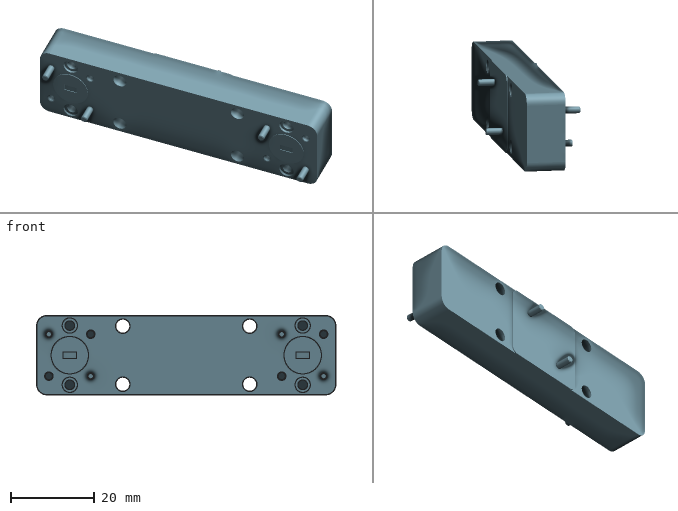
import cadquery as cq

LENGTH = 71.9
HEIGHT = 19.05
OVERALL_DEPTH = 17.75
CORNER_RADIUS = 2.5

PAD_WIDTH = 22.0
PAD_RAISE = 0.2
PAD_CORNER_RADIUS = 1.65

PIN_DIAMETER = 1.65
PIN_PROUD = 4.0
PIN_EMBEDDED = 2.9
PIN_CHAMFER = 0.18

PORT_X = 27.95
PORT_SQUARE = 10.05
BOSS_DIAMETER = 9.0
BOSS_RAISE = 0.15
WAVEGUIDE_WIDTH = 3.2
WAVEGUIDE_HEIGHT = 1.6
WAVEGUIDE_DEPTH = BOSS_RAISE

SOCKET_DIAMETER = 1.7
SOCKET_CHAMFER = 0.15
SOCKET_DEPTH = 4.3
SOCKET_CHAMFER_ANGLE = 45.0

SCREW_OFFSET = 7.1
SCREW_DIAMETER = 2.3
SCREW_DEPTH = 5.75
COUNTERBORE_DIAMETER = 3.7
COUNTERBORE_DEPTH = 0.6

MOUNT_X = 15.25
MOUNT_Z = 7.0
MOUNT_DIAMETER = 3.4

FRONT_FACE = PIN_PROUD - OVERALL_DEPTH / 2
PAD_FACE = OVERALL_DEPTH / 2 - PIN_PROUD
REAR_FACE = PAD_FACE - PAD_RAISE
BODY_DEPTH = REAR_FACE - FRONT_FACE

PORT_CENTRES = [-PORT_X, PORT_X]
PORT_POINTS = [(x, 0) for x in PORT_CENTRES]
HALF_SQUARE = PORT_SQUARE / 2

FRONT_PIN_POINTS = [(x + s * HALF_SQUARE, -s * HALF_SQUARE) for x in PORT_CENTRES for s in (-1, 1)]
SOCKET_POINTS = [(x + s * HALF_SQUARE, s * HALF_SQUARE) for x in PORT_CENTRES for s in (-1, 1)]
REAR_PIN_POINTS = [(s * HALF_SQUARE, s * HALF_SQUARE) for s in (-1, 1)]
SCREW_POINTS = [(x, s * SCREW_OFFSET) for x in PORT_CENTRES for s in (-1, 1)]
MOUNT_POINTS = [(sx * MOUNT_X, sz * MOUNT_Z) for sx in (-1, 1) for sz in (-1, 1)]


def sketch_plane(y):
    """Sketch plane at the given Y, with local axes along X and Z and its normal along -Y."""
    return cq.Workplane("XZ", origin=(0, y, 0))


def cylinders(points, diameter, y_start, length):
    """Cylinders at (X, Z) points that run toward +Y from y_start."""
    return sketch_plane(y_start).pushPoints(points).circle(diameter / 2).extrude(-length)


def raised_block():
    """Rounded block with its rear pad and the two front port bosses."""
    block = sketch_plane(FRONT_FACE).rect(LENGTH, HEIGHT).extrude(-BODY_DEPTH)
    block = block.edges("|Y").fillet(CORNER_RADIUS)
    pad = sketch_plane(REAR_FACE).rect(PAD_WIDTH, HEIGHT).extrude(-PAD_RAISE)
    pad = pad.edges("|Y").fillet(PAD_CORNER_RADIUS)
    bosses = cylinders(PORT_POINTS, BOSS_DIAMETER, FRONT_FACE - BOSS_RAISE, BOSS_RAISE)
    return block.union(pad).union(bosses)


def waveguide_openings():
    """Rectangular windows in the front bosses, down to the front face level."""
    openings = sketch_plane(FRONT_FACE - BOSS_RAISE).pushPoints(PORT_POINTS)
    return openings.rect(WAVEGUIDE_WIDTH, WAVEGUIDE_HEIGHT).extrude(-WAVEGUIDE_DEPTH)


def sockets():
    """Blind sockets with a chamfered mouth at the front face."""
    bores = cylinders(SOCKET_POINTS, SOCKET_DIAMETER, FRONT_FACE, SOCKET_DEPTH)
    mouths = sketch_plane(FRONT_FACE).pushPoints(SOCKET_POINTS).circle(SOCKET_DIAMETER / 2 + SOCKET_CHAMFER)
    return bores.union(mouths.extrude(-SOCKET_CHAMFER, taper=SOCKET_CHAMFER_ANGLE))


def screw_holes():
    """Blind screw holes with shallow counterbores at the front face."""
    bores = cylinders(SCREW_POINTS, SCREW_DIAMETER, FRONT_FACE, SCREW_DEPTH)
    return bores.union(cylinders(SCREW_POINTS, COUNTERBORE_DIAMETER, FRONT_FACE, COUNTERBORE_DEPTH))


def pin_holes():
    """Blind holes that the pins fill exactly."""
    front = cylinders(FRONT_PIN_POINTS, PIN_DIAMETER, FRONT_FACE, PIN_EMBEDDED)
    rear = cylinders(REAR_PIN_POINTS, PIN_DIAMETER, PAD_FACE - PIN_EMBEDDED, PIN_EMBEDDED)
    return front.union(rear)


def make_housing():
    mount_holes = cylinders(MOUNT_POINTS, MOUNT_DIAMETER, FRONT_FACE, PAD_FACE - FRONT_FACE)
    body = raised_block()
    for cutter in (waveguide_openings(), sockets(), screw_holes(), pin_holes(), mount_holes):
        body = body.cut(cutter)
    return body


def make_pin(point, y_start, tip_side):
    """One pin whose exposed tip, on the "<Y" or ">Y" side, is chamfered."""
    pin = cylinders([point], PIN_DIAMETER, y_start, PIN_EMBEDDED + PIN_PROUD)
    return pin.faces(tip_side).chamfer(PIN_CHAMFER)


housing = make_housing()
front_pins = [make_pin(point, FRONT_FACE - PIN_PROUD, "<Y") for point in FRONT_PIN_POINTS]
rear_pins = [make_pin(point, PAD_FACE - PIN_EMBEDDED, ">Y") for point in REAR_PIN_POINTS]

result = cq.Compound.makeCompound([housing.val(), *[pin.val() for pin in front_pins + rear_pins]])